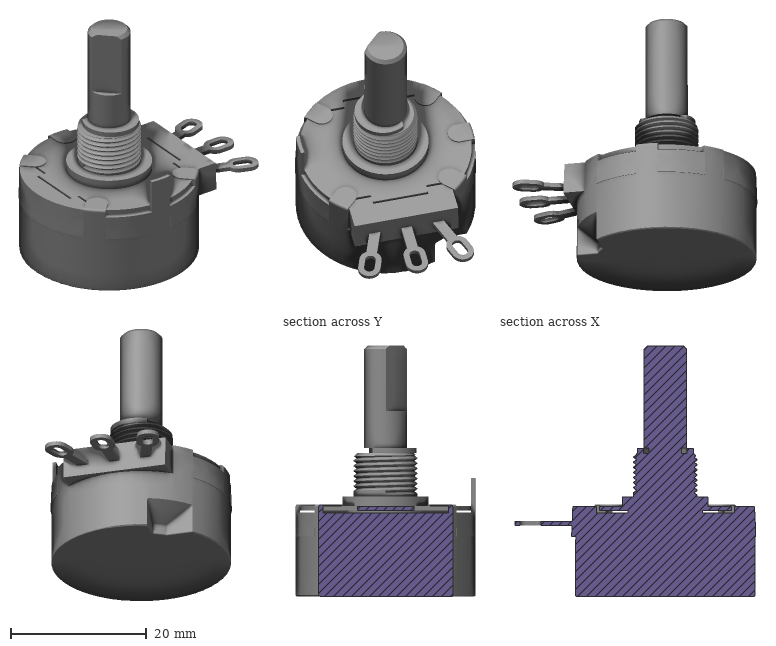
import cadquery as cq
import math

CAN_TOP = 8.82
RING_TOP = 12.35
PLATE_BOTTOM = 12.62
PLATE_TOP = 13.32
TAB_TOP = 13.55
FLANGE_TOP = 14.72
BUSHING_TOP = 21.07
STOP_TOP = 21.8
SHAFT_TOP = 36.9

CAN_RADIUS = 13.25
CAN_EDGE_FILLET = 0.2
TAB_WIDTH = 3.25
TAB_INNER_RADIUS = 12.7
TAB_ROUND_CENTER = 11.07
TAB_BEND_RADIUS = 0.37
BENT_TAB_ANGLES = (45, 135, 180, 225, 315)
UPRIGHT_TAB_TOP = 17.45

NOTCH_X = -4.65
NOTCH_Y = 8.23
NOTCH_TOP = 4.43
NOTCH_INNER_RADIUS = 10.4
NOTCH_FILLET = 0.3

RING_RADIUS = 13.35
RING_DRAFT = 0.2
BLOCK_HALF_WIDTH = 7.82
BLOCK_BACK = 13.85
WAFER_EDGE = 8.8
WAFER_RECESS_EDGE = 10.1

PLATE_RADIUS = TAB_INNER_RADIUS
PLATE_HALF_DEPTH = 8.4
TONGUE_HALF_WIDTH = 4.17
TONGUE_END = 9.75
TONGUE_FILLET = 0.22
CORE_RADIUS = 5.55

LUG_BOTTOM = 10.45
LUG_THICKNESS = 0.63
LUG_STEM_WIDTH = 1.6
LUG_EYE_RADIUS = 1.642
LUG_HOLE_RADIUS = 0.77
LUG_HOLE_SPREAD = 1.45
LUG_ROOT_Y = 13.75
LUG_ROOT_DEPTH = 0.75
SIDE_LUG_X = 4.8
SIDE_LUG_TILT = 20.0
MIDDLE_LUG_REACH = 6.8
SIDE_LUG_REACH = 6.6

FLANGE_RADIUS = 6.35
THREAD_RADIUS = 4.705
THREAD_PITCH = 0.75
THREAD_DEPTH = 0.45
CREST_WIDTH = 0.1
THREAD_START = 15.28
THREAD_CHAMFER = 0.5
STOP_RADIUS = 4.17
STOP_OFFSET = 0.4
STOP_CUT_X = -1.92

SHAFT_RADIUS = 3.155
NECK_RADIUS = 2.45
SHAFT_CHAMFER = 0.48
FLAT_DISTANCE = 2.27
FLAT_BOTTOM = 27.3
FLAT_ANGLE = -45.0


def block(x_range, y_range, z_range):
    size = [high - low for low, high in (x_range, y_range, z_range)]
    corner = (x_range[0], y_range[0], z_range[0])
    return cq.Workplane("XY").box(*size, centered=False).translate(corner)


def turned(solid, angle):
    return solid.rotate((0, 0, 0), (0, 0, 1), angle)


def cylinder(radius, bottom, top):
    """Upright cylinder around the Z axis, with its seam at -Y."""
    solid = cq.Workplane("XY").workplane(offset=bottom).circle(radius).extrude(top - bottom)
    return turned(solid, -90)


def notch_cutter():
    """Corner notch whose back is a cylinder that flares to the can wall as a cone."""
    flare_height = CAN_RADIUS - NOTCH_INNER_RADIUS
    core = (
        cq.Workplane("XZ")
        .moveTo(0, -0.37)
        .lineTo(NOTCH_INNER_RADIUS, -0.37)
        .lineTo(NOTCH_INNER_RADIUS, NOTCH_TOP - flare_height)
        .lineTo(CAN_RADIUS + 0.37, NOTCH_TOP + 0.37)
        .lineTo(0, NOTCH_TOP + 0.37)
        .close()
        .revolve(360, (0, 0), (0, 1))
    )
    x_range = (-CAN_RADIUS, NOTCH_X)
    y_range = (NOTCH_Y, CAN_RADIUS + 0.37)
    cutter = block(x_range, y_range, (-0.37, NOTCH_TOP + 0.37)).cut(core)
    back_edges = cq.selectors.BoxSelector(
        (-CAN_RADIUS, NOTCH_Y - 0.37, 0), (NOTCH_X + 0.37, CAN_RADIUS, NOTCH_TOP)
    )
    return cutter.edges("not <Z").edges(back_edges).fillet(NOTCH_FILLET)


def tab_strips():
    """Footprints of the bent tabs, round at their inner ends, as tall as the tabs."""
    half_width = TAB_WIDTH / 2
    strip = cylinder(half_width, CAN_TOP, TAB_TOP).translate((TAB_ROUND_CENTER, 0, 0))
    strip = strip.union(
        block((TAB_ROUND_CENTER, CAN_RADIUS + 0.37), (-half_width, half_width), (CAN_TOP, TAB_TOP))
    )
    strips = cq.Workplane("XY")
    for angle in BENT_TAB_ANGLES:
        strips = strips.add(turned(strip, angle))
    return strips.combine()


def upright_tab():
    """Unbent tab that stands at +X."""
    z_range = (CAN_TOP, UPRIGHT_TAB_TOP)
    wall = cylinder(CAN_RADIUS, *z_range).cut(cylinder(TAB_INNER_RADIUS, *z_range))
    return wall.intersect(block((0, CAN_RADIUS), (-TAB_WIDTH / 2, TAB_WIDTH / 2), z_range))


def can():
    """Solid can whose wall rises into tabs that fold inward over the cover plate."""
    drum = cylinder(CAN_RADIUS, 0, TAB_TOP).faces(">Z").edges().fillet(TAB_BEND_RADIUS)
    drum = drum.cut(notch_cutter()).faces("<Z").edges().fillet(CAN_EDGE_FILLET)
    between_tabs = cylinder(CAN_RADIUS + 0.37, CAN_TOP, TAB_TOP).cut(tab_strips())
    under_tabs = cylinder(TAB_INNER_RADIUS, CAN_TOP, PLATE_TOP)
    return drum.cut(between_tabs).cut(under_tabs).union(upright_tab())


def ring():
    """Insulating ring, its terminal block and the two raised wafer ends, all drafted outward."""
    cone = (
        cq.Workplane("XZ")
        .moveTo(0, CAN_TOP)
        .lineTo(RING_RADIUS, CAN_TOP)
        .lineTo(RING_RADIUS - RING_DRAFT, PLATE_TOP)
        .lineTo(0, PLATE_TOP)
        .close()
        .revolve(360, (0, 0), (0, 1))
    )
    terminal_block = (
        cq.Workplane("YZ")
        .moveTo(0, CAN_TOP)
        .lineTo(BLOCK_BACK, CAN_TOP)
        .lineTo(BLOCK_BACK - RING_DRAFT, PLATE_TOP)
        .lineTo(0, PLATE_TOP)
        .close()
        .extrude(BLOCK_HALF_WIDTH, both=True)
    )
    upper = (RING_TOP, PLATE_TOP)
    middle = block((-RING_RADIUS, RING_RADIUS), (-WAFER_EDGE, WAFER_EDGE), upper)
    recess = block(
        (-TONGUE_HALF_WIDTH, TONGUE_HALF_WIDTH), (-WAFER_RECESS_EDGE, WAFER_RECESS_EDGE), upper
    )
    block_front = BLOCK_HALF_WIDTH + TAB_WIDTH / math.sqrt(2)
    for x_range in ((-RING_RADIUS, -BLOCK_HALF_WIDTH), (BLOCK_HALF_WIDTH, RING_RADIUS)):
        cone = cone.cut(block(x_range, (block_front, RING_RADIUS), (CAN_TOP, PLATE_TOP)))
    body = cone.union(terminal_block).cut(middle).cut(recess)
    slot = block((TAB_INNER_RADIUS, BLOCK_BACK + 0.37), (-TAB_WIDTH / 2, TAB_WIDTH / 2), (CAN_TOP, PLATE_TOP))
    for angle in (0, *BENT_TAB_ANGLES):
        body = body.cut(turned(slot, angle))
    return body


def cover_plate():
    z_range = (PLATE_BOTTOM, PLATE_TOP)
    outline = block((-PLATE_RADIUS, PLATE_RADIUS), (-PLATE_HALF_DEPTH, PLATE_HALF_DEPTH), z_range)
    tongues = block((-TONGUE_HALF_WIDTH, TONGUE_HALF_WIDTH), (-TONGUE_END, TONGUE_END), z_range)
    tongue_corners = cq.selectors.BoxSelector(
        (-TONGUE_HALF_WIDTH - 0.37, -TONGUE_END - 0.37, PLATE_BOTTOM),
        (TONGUE_HALF_WIDTH + 0.37, TONGUE_END + 0.37, PLATE_TOP),
    )
    plate = outline.union(tongues).edges("|Z").edges(tongue_corners).fillet(TONGUE_FILLET)
    plate = plate.intersect(cylinder(PLATE_RADIUS, *z_range))
    return plate.union(cylinder(CORE_RADIUS, RING_TOP, PLATE_TOP))


def lug(reach):
    """Solder lug along +Y from the origin; reach is the distance to the outer end of its hole's axis."""
    eye_center = reach - LUG_HOLE_SPREAD / 2
    plane = cq.Workplane("XY").workplane(offset=LUG_BOTTOM)

    def slot(radius):
        length = LUG_HOLE_SPREAD + 2 * radius
        return plane.center(0, eye_center).slot2D(length, 2 * radius, 90).extrude(LUG_THICKNESS)

    stem_length = LUG_ROOT_DEPTH + eye_center
    stem = plane.center(0, stem_length / 2 - LUG_ROOT_DEPTH).rect(LUG_STEM_WIDTH, stem_length)
    return stem.extrude(LUG_THICKNESS).union(slot(LUG_EYE_RADIUS)).cut(slot(LUG_HOLE_RADIUS))


def lugs():
    row = lug(MIDDLE_LUG_REACH)
    for side in (-1, 1):
        tilted = turned(lug(SIDE_LUG_REACH), -side * SIDE_LUG_TILT)
        row = row.union(tilted.translate((side * SIDE_LUG_X, 0, 0)))
    return row.translate((0, LUG_ROOT_Y, 0))


def groove_turn():
    """One right-handed turn of the V groove, starting at -Y."""
    overshoot = 0.05
    half_width = (THREAD_PITCH - CREST_WIDTH) / 2 * (THREAD_DEPTH + overshoot) / THREAD_DEPTH
    helix = cq.Wire.makeHelix(THREAD_PITCH, THREAD_PITCH, THREAD_RADIUS)
    section = (
        cq.Workplane("XZ")
        .moveTo(THREAD_RADIUS - THREAD_DEPTH, 0)
        .lineTo(THREAD_RADIUS + overshoot, -half_width)
        .lineTo(THREAD_RADIUS + overshoot, half_width)
        .close()
    )
    groove = section.sweep(cq.Workplane(obj=helix), isFrenet=True)
    return turned(groove, -90).translate((0, 0, THREAD_START))


def bushing():
    barrel = cylinder(THREAD_RADIUS, FLANGE_TOP, BUSHING_TOP).faces(">Z").edges().chamfer(THREAD_CHAMFER)
    groove = groove_turn()
    turn_count = math.ceil((BUSHING_TOP - THREAD_START) / THREAD_PITCH)
    for turn in range(turn_count):
        barrel = barrel.cut(groove.translate((0, 0, turn * THREAD_PITCH)))
    stop = cylinder(STOP_RADIUS, BUSHING_TOP, STOP_TOP).translate((STOP_OFFSET, 0, 0))
    stop = stop.intersect(
        block((STOP_CUT_X, 2 * STOP_RADIUS), (-STOP_RADIUS, STOP_RADIUS), (BUSHING_TOP, STOP_TOP))
    )
    stop = stop.cut(cylinder(SHAFT_RADIUS, BUSHING_TOP, STOP_TOP))
    return cylinder(FLANGE_RADIUS, PLATE_TOP, FLANGE_TOP).union(barrel).union(stop)


def shaft():
    rod = cylinder(SHAFT_RADIUS, STOP_TOP, SHAFT_TOP).faces(">Z").edges().chamfer(SHAFT_CHAMFER)
    flat = block((FLAT_DISTANCE, SHAFT_RADIUS), (-SHAFT_RADIUS, SHAFT_RADIUS), (FLAT_BOTTOM, SHAFT_TOP))
    return rod.cut(turned(flat, FLAT_ANGLE)).union(cylinder(NECK_RADIUS, BUSHING_TOP, STOP_TOP))


result = can()
for component in (ring(), cover_plate(), lugs(), bushing(), shaft()):
    result = result.union(component)